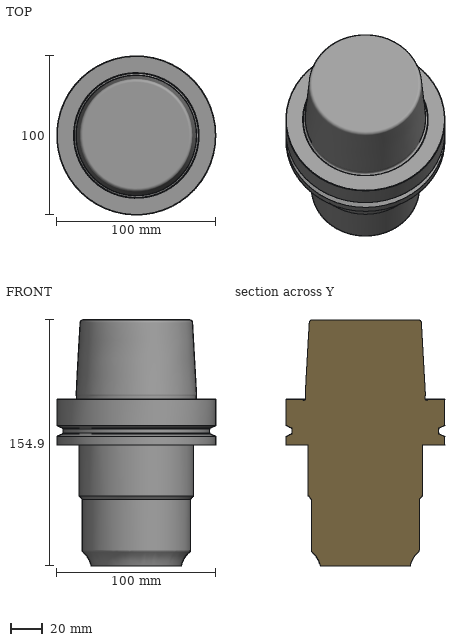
import cadquery as cq

total_length = 154.9
flange_radius = 50.0

nose_end_radius = 28.3
nose_height = 9.3
nose_mid_radius = 29.5
nose_mid_height = 3.4
nose_edge_radius = 1.4
slim_radius = 34.1
slim_top = 42.0
wide_radius = 36.1
wide_rim_rise = 2.2
wide_chamfer_width = 1.1
wide_chamfer_rise = 1.1

flange_bottom = 76.0
flange_top = 105.0
flange_edge_chamfer = 0.3
groove_radius = 46.2
groove_lower_edge = 81.6
groove_upper_edge = 88.3
groove_floor_bottom = 83.3
groove_floor_top = 86.6
groove_fillet_radius = 0.8

taper_base_radius = 38.0
taper_top_radius = 35.3
taper_bottom = 107.7
head_edge_radius = 2.0

recess_radius = 39.5
recess_depth = 0.6
recess_chamfer = 0.5
neck_radius = 37.8
neck_top = 106.9
neck_fillet_radius = 1.1


def build_body():
    """Revolve the half outline (radius, height) around Z."""
    outline = (
        cq.Workplane("XZ")
        .lineTo(nose_end_radius, 0)
        .threePointArc((nose_mid_radius, nose_mid_height), (slim_radius, nose_height))
        .lineTo(slim_radius, slim_top)
        .lineTo(wide_radius - wide_chamfer_width, slim_top + wide_chamfer_rise)
        .lineTo(wide_radius, slim_top + wide_rim_rise)
        .lineTo(wide_radius, flange_bottom)
        .lineTo(flange_radius, flange_bottom)
        .lineTo(flange_radius, groove_lower_edge)
        .lineTo(groove_radius, groove_floor_bottom)
        .lineTo(groove_radius, groove_floor_top)
        .lineTo(flange_radius, groove_upper_edge)
        .lineTo(flange_radius, flange_top - flange_edge_chamfer)
        .lineTo(flange_radius - flange_edge_chamfer, flange_top)
        .lineTo(recess_radius, flange_top)
        .lineTo(recess_radius - recess_chamfer, flange_top - recess_depth)
        .lineTo(neck_radius, flange_top - recess_depth)
        .lineTo(neck_radius, neck_top)
        .lineTo(taper_base_radius, taper_bottom)
        .lineTo(taper_top_radius, total_length)
        .lineTo(0, total_length)
        .close()
    )
    return outline.revolve(360, (0, 0, 0), (0, 1, 0))


def fillet_circle(body, radius, height, fillet_radius):
    """Round the circular edge that has the given radius and height."""
    tolerance = 0.02
    circles = body.edges("%CIRCLE").filter(
        lambda edge: abs(edge.radius() - radius) < tolerance
        and abs(edge.Center().z - height) < tolerance
    )
    return body.newObject(circles.vals()).fillet(fillet_radius)


result = build_body()
result = fillet_circle(result, taper_top_radius, total_length, head_edge_radius)
result = fillet_circle(result, slim_radius, nose_height, nose_edge_radius)
result = fillet_circle(result, neck_radius, flange_top - recess_depth, neck_fillet_radius)
for floor_edge_height in (groove_floor_bottom, groove_floor_top):
    result = fillet_circle(result, groove_radius, floor_edge_height, groove_fillet_radius)